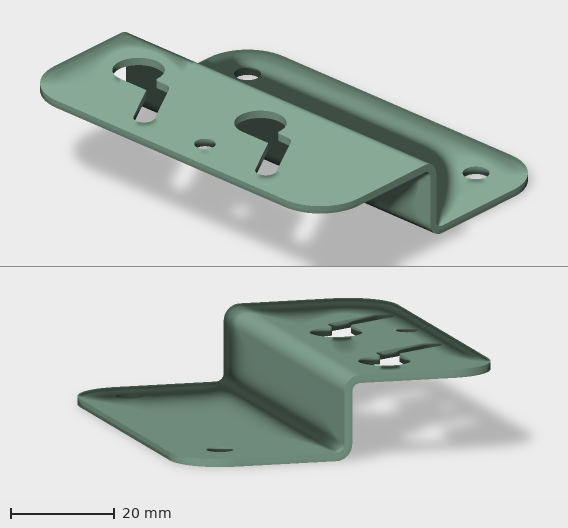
import math

import cadquery as cq

WIDTH = 80.0
DEPTH = 64.0
HEIGHT = 16.6
SHEET = 1.6
BEND_INNER_RADIUS = 1.6
BEND_OUTER_RADIUS = BEND_INNER_RADIUS + SHEET
CORNER_RADIUS = 10.0

WEB_BACK_Y = 0.0
WEB_FRONT_Y = WEB_BACK_Y - SHEET

MOUNT_HOLE_DIAMETER = 5.2
MOUNT_HOLE_X = WIDTH / 2 - CORNER_RADIUS
MOUNT_HOLE_Y = DEPTH / 2 - CORNER_RADIUS

ENTRY_RADIUS = 5.0
CHANNEL_WIDTH = 4.2
CHANNEL_ANGLE = 60.0
LEFT_ENTRY_X = -27.0
ENTRY_Y = -12.0
KEYHOLE_PITCH = 32.0
TIP_DX = 14.1
TIP_DY = -13.6
ELBOW_RADIUS = 2.1
ENTRY_FILLET = 0.8

LOCK_HOLE_DIAMETER = CHANNEL_WIDTH
LOCK_HOLE_X = LEFT_ENTRY_X + TIP_DX + KEYHOLE_PITCH / 2
LOCK_HOLE_Y = ENTRY_Y + TIP_DY


def bent_sheet():
    """Z-shaped sheet with rounded bends and rounded outer corners."""
    front = -DEPTH / 2
    back = DEPTH / 2
    outline = [
        (front, HEIGHT),
        (WEB_BACK_Y, HEIGHT),
        (WEB_BACK_Y, SHEET),
        (back, SHEET),
        (back, 0),
        (WEB_FRONT_Y, 0),
        (WEB_FRONT_Y, HEIGHT - SHEET),
        (front, HEIGHT - SHEET),
    ]
    sheet = cq.Workplane("YZ").polyline(outline).close().extrude(WIDTH / 2, both=True)

    def round_bend(body, y, z, radius):
        edge = cq.selectors.NearestToPointSelector((0, y, z))
        return body.edges(edge).fillet(radius)

    sheet = round_bend(sheet, WEB_BACK_Y, HEIGHT, BEND_OUTER_RADIUS)
    sheet = round_bend(sheet, WEB_FRONT_Y, HEIGHT - SHEET, BEND_INNER_RADIUS)
    sheet = round_bend(sheet, WEB_BACK_Y, SHEET, BEND_INNER_RADIUS)
    sheet = round_bend(sheet, WEB_FRONT_Y, 0, BEND_OUTER_RADIUS)
    return sheet.faces("<Y or >Y").edges("|Z").fillet(CORNER_RADIUS)


def round_cutter(points, diameter):
    """Vertical cylinders through the full height."""
    return cq.Workplane("XY").pushPoints(points).circle(diameter / 2).extrude(HEIGHT)


def keyhole_cutter():
    """Keyhole slot with its round entry centred on the origin."""
    angle = math.radians(CHANNEL_ANGLE)
    tip_radius = CHANNEL_WIDTH / 2
    channel_bottom = -ENTRY_RADIUS
    channel_top = channel_bottom + CHANNEL_WIDTH

    across_x = tip_radius * math.sin(angle)
    across_y = tip_radius * math.cos(angle)
    upper_end = (TIP_DX + across_x, TIP_DY + across_y)
    lower_end = (TIP_DX - across_x, TIP_DY - across_y)
    slot_end = (TIP_DX + tip_radius * math.cos(angle), TIP_DY - tip_radius * math.sin(angle))

    outer_elbow_x = upper_end[0] - (channel_top - upper_end[1]) / math.tan(angle)
    inner_elbow_x = lower_end[0] - (channel_bottom - lower_end[1]) / math.tan(angle)

    channel = (
        cq.Workplane("XY")
        .moveTo(0, channel_top)
        .lineTo(outer_elbow_x, channel_top)
        .lineTo(*upper_end)
        .threePointArc(slot_end, lower_end)
        .lineTo(inner_elbow_x, channel_bottom)
        .lineTo(0, channel_bottom)
        .close()
        .extrude(HEIGHT)
    )
    keyhole = round_cutter([(0, 0)], 2 * ENTRY_RADIUS).union(channel)

    notch_x = math.sqrt(ENTRY_RADIUS**2 - channel_top**2)
    for x, radius in ((outer_elbow_x, ELBOW_RADIUS), (notch_x, ENTRY_FILLET)):
        edge = cq.selectors.NearestToPointSelector((x, channel_top, HEIGHT / 2))
        keyhole = keyhole.edges("|Z").edges(edge).fillet(radius)
    return keyhole


mount_points = [(side * MOUNT_HOLE_X, MOUNT_HOLE_Y) for side in (-1, 1)]

result = bent_sheet()
result = result.cut(round_cutter(mount_points, MOUNT_HOLE_DIAMETER))
result = result.cut(round_cutter([(LOCK_HOLE_X, LOCK_HOLE_Y)], LOCK_HOLE_DIAMETER))

for index in range(2):
    entry_x = LEFT_ENTRY_X + index * KEYHOLE_PITCH
    result = result.cut(keyhole_cutter().translate((entry_x, ENTRY_Y, 0)))